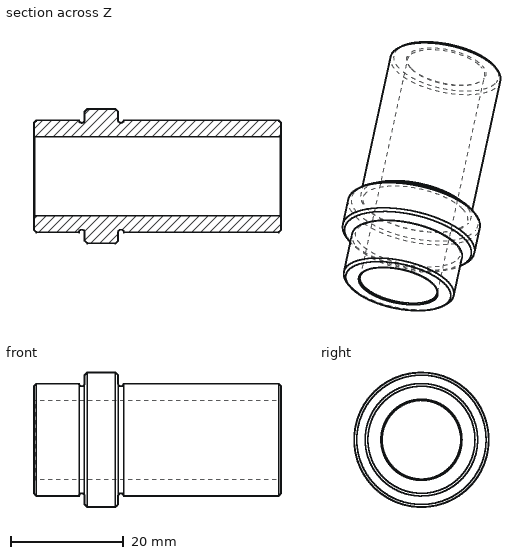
import cadquery as cq

length = 44.0
body_diameter = 20.0
flange_diameter = 24.0
bore_diameter = 14.0

flange_start = 9.0
flange_width = 6.0
flange_end = flange_start + flange_width

edge_chamfer = 0.5
groove_radius = 0.5
bore_chamfer = 0.2


def cylinder(start, end, diameter):
    """Solid cylinder along X between two distances from the -X end."""
    plane = cq.Workplane("YZ", origin=(start - length / 2, 0, 0))
    return plane.circle(diameter / 2).extrude(end - start)


def relief_groove(center):
    """Ring of round section, sunk to half its depth in the body surface."""
    return (
        cq.Workplane("XY")
        .center(center - length / 2, body_diameter / 2)
        .circle(groove_radius)
        .revolve(360, (0, -body_diameter / 2), (1, -body_diameter / 2))
    )


body = cylinder(0, length, body_diameter).edges("%CIRCLE").chamfer(edge_chamfer)
flange = cylinder(flange_start, flange_end, flange_diameter).edges("%CIRCLE").chamfer(edge_chamfer)
result = body.union(flange)

for groove_center in (flange_start - groove_radius, flange_end + groove_radius):
    result = result.cut(relief_groove(groove_center))

bore = cylinder(0, length, bore_diameter)
result = result.cut(bore)
bore_edges = cq.selectors.RadiusNthSelector(0)
result = result.faces("<X or >X").edges(bore_edges).chamfer(bore_chamfer)